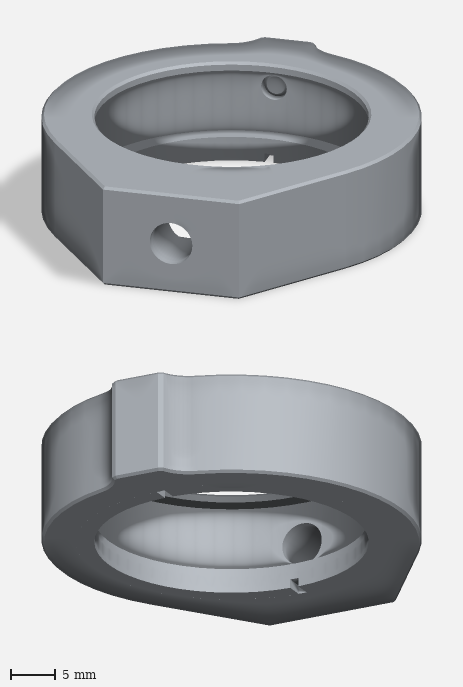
import cadquery as cq
import math

HEIGHT = 12.0
OUTER_DIAMETER = 43.0
EDGE_CHAMFER = 0.3

FOOT_DISTANCE = 25.05
FOOT_WIDTH = 16.0

TAB_DISTANCE = 23.45
TAB_END_WIDTH = 5.45
TAB_CORNER_DROP = 0.3
TAB_NECK_WIDTH = 5.9
TAB_FLANK_RADIUS = 4.35

LIP_DIAMETER = 31.05
LIP_HEIGHT = 1.0
LIP_CHAMFER = 0.3
SEAT_DIAMETER = 35.2

RING_INNER_DIAMETER = LIP_DIAMETER
RING_HEIGHT = 2.85
SLOT_WIDTH = 1.0
SLOT_DEPTH = 1.0

POST_HOLE_DIAMETER = 5.0

SCREW_DIAMETER = 3.0
SCREW_RISE = 2.35
SCREW_CHAMFER = 0.45
SCREW_RECESS = 0.75

outer_radius = OUTER_DIAMETER / 2
seat_radius = SEAT_DIAMETER / 2
top_z = HEIGHT / 2
bottom_z = -HEIGHT / 2


def foot_tangent_point():
    """Point on the +X side where the foot's straight side touches the ring."""
    half_foot = FOOT_WIDTH / 2
    corner_distance = math.hypot(half_foot, FOOT_DISTANCE)
    corner_angle = math.atan2(-FOOT_DISTANCE, half_foot)
    tangent_angle = corner_angle + math.acos(outer_radius / corner_distance)
    return outer_radius * math.cos(tangent_angle), outer_radius * math.sin(tangent_angle)


def tab_flank_points():
    """Root, middle and shoulder points of the +X tab flank, a hollow arc tangent to the ring."""
    centre_distance = outer_radius + TAB_FLANK_RADIUS
    centre_x = TAB_NECK_WIDTH / 2 + TAB_FLANK_RADIUS
    centre_y = math.sqrt(centre_distance**2 - centre_x**2)
    shoulder_y = TAB_DISTANCE - TAB_CORNER_DROP

    root_angle = math.atan2(-centre_y, -centre_x)
    shoulder_angle = -math.pi + math.asin((centre_y - shoulder_y) / TAB_FLANK_RADIUS)
    middle_angle = (root_angle + shoulder_angle) / 2
    return [
        (
            centre_x + TAB_FLANK_RADIUS * math.cos(angle),
            centre_y + TAB_FLANK_RADIUS * math.sin(angle),
        )
        for angle in (root_angle, middle_angle, shoulder_angle)
    ]


def mirrored(point):
    """The matching point on the -X side."""
    return -point[0], point[1]


def housing_blank():
    """Solid housing outline (ring, foot and tab) with chamfered top and bottom edges."""
    foot_corner = (FOOT_WIDTH / 2, -FOOT_DISTANCE)
    foot_tangent = foot_tangent_point()
    flank_root, flank_middle, shoulder = tab_flank_points()
    tab_corner = (TAB_END_WIDTH / 2, TAB_DISTANCE)
    outline = (
        cq.Workplane("XY", origin=(0, 0, bottom_z))
        .moveTo(*mirrored(foot_corner))
        .lineTo(*foot_corner)
        .lineTo(*foot_tangent)
        .threePointArc((outer_radius, 0), flank_root)
        .threePointArc(flank_middle, shoulder)
        .lineTo(*tab_corner)
        .lineTo(*mirrored(tab_corner))
        .lineTo(*mirrored(shoulder))
        .threePointArc(mirrored(flank_middle), mirrored(flank_root))
        .threePointArc((-outer_radius, 0), mirrored(foot_tangent))
        .close()
    )
    return outline.extrude(HEIGHT).faces("<Z or >Z").edges().chamfer(EDGE_CHAMFER)


def disc_from_bottom(diameter, height):
    """Solid disc on the ring axis, standing on the bottom plane."""
    return cq.Workplane("XY", origin=(0, 0, bottom_z)).circle(diameter / 2).extrude(height)


def cylinder_along_y(diameter, start_y, end_y, z):
    """Solid cylinder along +Y, centred on X = 0."""
    plane = cq.Plane(origin=(0, start_y, z), xDir=(1, 0, 0), normal=(0, 1, 0))
    return cq.Workplane(plane).circle(diameter / 2).extrude(end_y - start_y)


def make_housing():
    """Housing with lip opening, wide seat from below, post hole and screw hole."""
    lip_edge = cq.selectors.NearestToPointSelector((0, 0, top_z))
    housing = housing_blank().cut(disc_from_bottom(LIP_DIAMETER, HEIGHT))
    housing = housing.faces(">Z").edges(lip_edge).chamfer(LIP_CHAMFER)
    housing = housing.cut(disc_from_bottom(SEAT_DIAMETER, HEIGHT - LIP_HEIGHT))

    post_hole = cylinder_along_y(POST_HOLE_DIAMETER, -FOOT_DISTANCE, 0, 0)
    screw_hole = cylinder_along_y(SCREW_DIAMETER, 0, TAB_DISTANCE, SCREW_RISE)
    return housing.cut(post_hole).cut(screw_hole)


def make_retaining_ring():
    """Ring in the lower end of the seat, with spanner slots across its underside."""
    ring = disc_from_bottom(SEAT_DIAMETER, RING_HEIGHT)
    opening = disc_from_bottom(RING_INNER_DIAMETER, RING_HEIGHT)
    slots = (
        cq.Workplane("XY", origin=(0, 0, bottom_z))
        .rect(SLOT_WIDTH, SEAT_DIAMETER)
        .extrude(SLOT_DEPTH)
    )
    return ring.cut(opening).cut(slots)


def make_set_screw():
    """Headless screw in the tab, chamfered at its tip and flush with the tab's end."""
    tip_y = seat_radius + SCREW_RECESS
    screw = cylinder_along_y(SCREW_DIAMETER, tip_y, TAB_DISTANCE, SCREW_RISE)
    return screw.faces("<Y").chamfer(SCREW_CHAMFER)


housing = make_housing()
retaining_ring = make_retaining_ring()
set_screw = make_set_screw()

bodies = [housing, retaining_ring, set_screw]
result = cq.Compound.makeCompound([body.solids().val() for body in bodies])